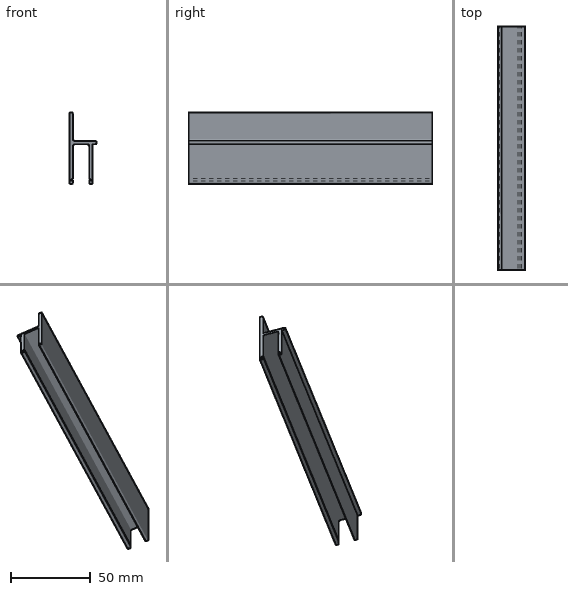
import cadquery as cq

length = 152.4
height = 45.0
width = 17.0
wall = 2.3
channel_gap = 10.0
shelf_top = 27.1
inner_radius = 1.0
notch_depth = 1.4
notch_floor = 2.3

shelf_bottom = shelf_top - wall
leg_inner = wall + channel_gap
leg_outer = leg_inner + wall
notch_top = notch_floor + notch_depth


def strip(x_start, x_end, z_start, z_end):
    """Full-length strip of wall thickness with semicircular ends to its section."""
    x_size = x_end - x_start
    z_size = z_end - z_start
    angle = 0 if x_size > z_size else 90
    return (
        cq.Workplane("XZ")
        .center((x_start + x_end) / 2, (z_start + z_end) / 2)
        .slot2D(max(x_size, z_size), wall, angle)
        .extrude(-length)
    )


def fillet_corners(body, points, radius):
    """Fillet the lengthwise edges passing through the given (x, z) points."""
    for x, z in points:
        edge = cq.selectors.NearestToPointSelector((x, length / 2, z))
        body = body.edges("|Y").edges(edge).fillet(radius)
    return body


def notch(x_face, inward):
    """Groove in a channel face; inward is the X direction into the material."""
    x_root = x_face + inward * notch_depth
    return (
        cq.Workplane("XZ")
        .polyline([(x_face, notch_floor), (x_root, notch_floor), (x_face, notch_top)])
        .close()
        .extrude(-length)
    )


tall_wall = strip(0, wall, 0, height)
shelf = strip(0, width, shelf_bottom, shelf_top)
leg = strip(leg_inner, leg_outer, 0, shelf_top)
profile = tall_wall.union(shelf).union(leg)

inner_corners = [(wall, shelf_top), (wall, shelf_bottom), (leg_inner, shelf_bottom)]
profile = fillet_corners(profile, inner_corners, inner_radius)

result = profile.cut(notch(wall, -1)).cut(notch(leg_inner, 1))